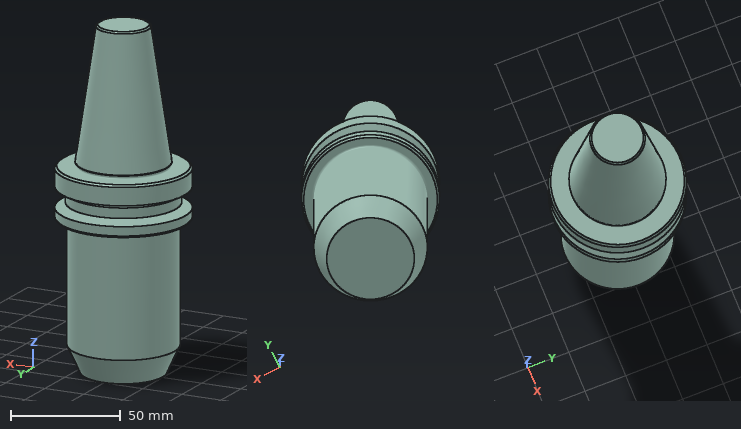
import cadquery as cq

total_length = 165.4
flange_radius = 31.51

nose_radius = 20.0
body_radius = 26.0
nose_height = 13.0
body_fillet = 1.0

flange_bottom = 73.0
flange_top = 98.0
flange_chamfer = 1.0
groove_radius = 26.6
groove_middle = 83.4
groove_floor_width = 5.0
groove_mouth_width = 10.0

neck_radius = 21.7
neck_fillet = 0.7
neck_shoulder_height = 0.5
taper_start = flange_top + 2.0
taper_ratio = 7 / 24
gauge_radius = 22.2
tip_chamfer = 0.8
taper_end_radius = gauge_radius - (total_length - taper_start) * taper_ratio / 2


def add_nose_and_body(profile):
    """Draw from the nose centre up to the fillet under the flange."""
    return (
        profile.lineTo(nose_radius, 0)
        .lineTo(body_radius, nose_height)
        .lineTo(body_radius, flange_bottom - body_fillet)
        .radiusArc((body_radius + body_fillet, flange_bottom), body_fillet)
    )


def add_flange(profile):
    """Draw the chamfered flange rim, interrupted by the gripper groove."""
    half_floor = groove_floor_width / 2
    half_mouth = groove_mouth_width / 2
    return (
        profile.lineTo(flange_radius - flange_chamfer, flange_bottom)
        .lineTo(flange_radius, flange_bottom + flange_chamfer)
        .lineTo(flange_radius, groove_middle - half_mouth)
        .lineTo(groove_radius, groove_middle - half_floor)
        .lineTo(groove_radius, groove_middle + half_floor)
        .lineTo(flange_radius, groove_middle + half_mouth)
        .lineTo(flange_radius, flange_top - flange_chamfer)
        .lineTo(flange_radius - flange_chamfer, flange_top)
    )


def add_shank(profile):
    """Draw the filleted neck, the taper and the chamfered tip."""
    return (
        profile.lineTo(neck_radius + neck_fillet, flange_top)
        .radiusArc((neck_radius, flange_top + neck_fillet), neck_fillet)
        .lineTo(neck_radius, taper_start - neck_shoulder_height)
        .lineTo(gauge_radius, taper_start)
        .lineTo(taper_end_radius, total_length - tip_chamfer)
        .lineTo(taper_end_radius - tip_chamfer, total_length)
        .lineTo(0, total_length)
    )


half_section = cq.Workplane("XZ").moveTo(0, 0)
half_section = add_nose_and_body(half_section)
half_section = add_flange(half_section)
half_section = add_shank(half_section).close()
result = half_section.revolve(360, (0, 0), (0, 1))